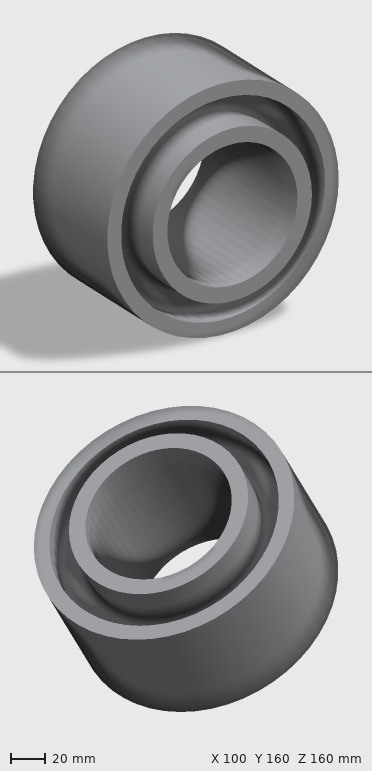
import cadquery as cq

bore_diameter = 90.0
hub_diameter = 110.0
rim_inner_diameter = 141.0
rim_diameter = 160.0
hub_length = 100.0
rim_length = 80.0
groove_depth = 20.0
fillet_radius = 4.2

web_length = rim_length - 2 * groove_depth


def tube(outer_diameter, inner_diameter, length):
    """Hollow cylinder along X, centred on the origin."""
    return (
        cq.Workplane("YZ", origin=(-length / 2, 0, 0))
        .circle(outer_diameter / 2)
        .circle(inner_diameter / 2)
        .extrude(length)
    )


hub = tube(hub_diameter, bore_diameter, hub_length)
rim = tube(rim_diameter, rim_inner_diameter, rim_length)
web = tube(rim_inner_diameter, hub_diameter, web_length)
body = hub.union(web).union(rim)

groove_floors = body.faces("|X").faces("<X[2] or >X[2]")
result = groove_floors.edges().fillet(fillet_radius)